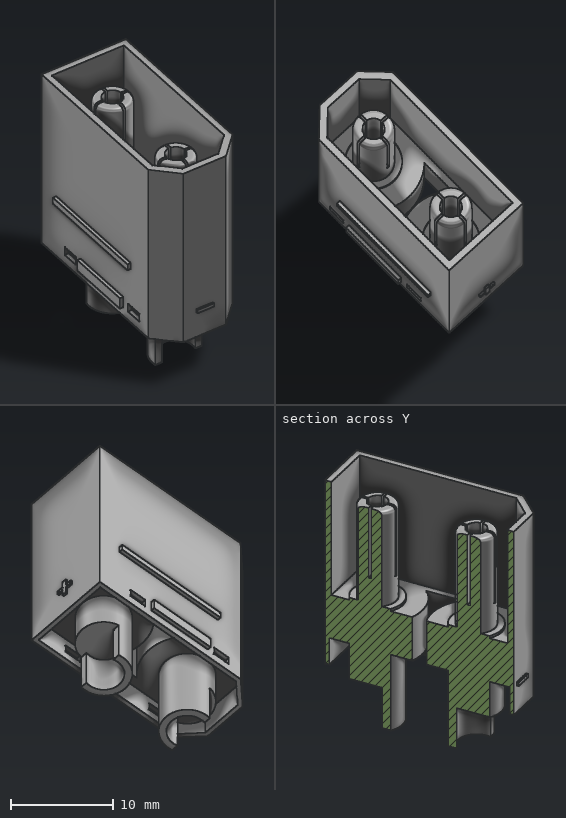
import cadquery as cq

HOUSING_LENGTH = 21.0
HOUSING_WIDTH = 10.0
HOUSING_HEIGHT = 20.83
CORNER_CHAMFER = 2.48

CAVITY_WALL = 0.75
CAVITY_CHAMFER = 2.15
FLOOR_TOP = 8.0
RECESS_WALL = 0.5
RECESS_DEPTH = 3.0

PIN_PITCH = 10.98
PIN_POSITIONS = (-PIN_PITCH / 2, PIN_PITCH / 2)
PIN_RADIUS = 2.05
PIN_TOP_BELOW_RIM = 1.8
PIN_TOP = HOUSING_HEIGHT - PIN_TOP_BELOW_RIM
PIN_BORE_RADIUS = 1.08
PIN_TIP_ROUND = 0.53
PIN_SPLIT_DEPTH = 7.92
PIN_SLOT_WIDTH = 0.26
SHOULDER_RADIUS = 2.8
SHOULDER_RISE = 0.26
SHOULDER_TOP = FLOOR_TOP + SHOULDER_RISE

OVERALL_HEIGHT = 26.4
TAIL_LENGTH = OVERALL_HEIGHT - HOUSING_HEIGHT
COLLAR_HEIGHT = 1.0
CUP_RADIUS = 2.03
CUP_FACE_OFFSET = 0.5

WAIST_ARC_RADIUS = 4.95
WAIST_WIDTH = 7.05

RIB_PROJECTION = 0.4
LONG_RIB_LENGTH = 12.94
LONG_RIB_HEIGHT = 0.75
LONG_RIB_BASE = 6.65
LONG_RIB_OFFSET = -1.45
SHORT_RIB_LENGTH = 7.42
SHORT_RIB_HEIGHT = 1.3
SIDE_DETAIL_BASE = 1.08
WINDOW_LENGTH = 1.95
WINDOW_HEIGHT = 0.95

MARK_PROJECTION = 0.2
MARK_LENGTH = 1.95
MARK_STROKE = 0.4
PLUS_STROKE = 0.5
PLUS_HEIGHT = 3.48
MINUS_HEIGHT = 3.25


def block(length, width, height, x=0.0, y=0.0, base=0.0):
    """Box centred on (x, y) and standing on z = base."""
    return cq.Workplane("XY").box(length, width, height, centered=(True, True, False)).translate((x, y, base))


def cylinder(radius, base, top, x=0.0):
    return cq.Workplane("XY", origin=(x, 0, base)).circle(radius).extrude(top - base)


def housing_prism(base, top, inset=0.0, chamfer=CORNER_CHAMFER):
    """Chamfered housing outline with its sides moved inwards by inset, extruded from base to top."""
    half_length = HOUSING_LENGTH / 2 - inset
    half_width = HOUSING_WIDTH / 2 - inset
    return cq.Workplane("XY", origin=(0, 0, base)).polyline([
        (-half_length, -half_width),
        (half_length - chamfer, -half_width),
        (half_length, -half_width + chamfer),
        (half_length, half_width - chamfer),
        (half_length - chamfer, half_width),
        (-half_length, half_width),
    ]).close().extrude(top - base)


def waisted_opening():
    height = FLOOR_TOP - RECESS_DEPTH
    opening = block(PIN_PITCH, WAIST_WIDTH, height, base=RECESS_DEPTH)
    for x in PIN_POSITIONS:
        opening = opening.cut(cylinder(WAIST_ARC_RADIUS, RECESS_DEPTH, FLOOR_TOP, x))
    return opening


def pin(x, outward):
    """Split contact pin with its solder tail; the open side of the cup faces outward (+1 or -1 in X)."""
    contact = cylinder(PIN_RADIUS, SHOULDER_TOP, PIN_TOP).faces(">Z").edges().fillet(PIN_TIP_ROUND)
    split_base = PIN_TOP - PIN_SPLIT_DEPTH
    contact = contact.cut(cylinder(PIN_BORE_RADIUS, split_base, PIN_TOP))
    for length, width in ((2 * PIN_RADIUS, PIN_SLOT_WIDTH), (PIN_SLOT_WIDTH, 2 * PIN_RADIUS)):
        contact = contact.cut(block(length, width, PIN_SPLIT_DEPTH, base=split_base))

    tail = cylinder(SHOULDER_RADIUS, -TAIL_LENGTH, SHOULDER_TOP)
    cup_height = TAIL_LENGTH - COLLAR_HEIGHT
    tail = tail.cut(cylinder(CUP_RADIUS, -TAIL_LENGTH, -COLLAR_HEIGHT))
    cut_x = outward * (CUP_FACE_OFFSET + SHOULDER_RADIUS)
    tail = tail.cut(block(2 * SHOULDER_RADIUS, 2 * SHOULDER_RADIUS, cup_height, x=cut_x, base=-TAIL_LENGTH))
    return tail.union(contact).translate((x, 0, 0))


result = housing_prism(0, HOUSING_HEIGHT)
result = result.cut(housing_prism(FLOOR_TOP, HOUSING_HEIGHT, CAVITY_WALL, CAVITY_CHAMFER))
result = result.cut(housing_prism(0, RECESS_DEPTH, RECESS_WALL, CAVITY_CHAMFER))
result = result.cut(waisted_opening())

for x in PIN_POSITIONS:
    result = result.cut(block(WINDOW_LENGTH, HOUSING_WIDTH, WINDOW_HEIGHT, x=x, base=SIDE_DETAIL_BASE))

rib_thickness = RECESS_WALL + RIB_PROJECTION
for side in (-1, 1):
    rib_y = side * (HOUSING_WIDTH / 2 + RIB_PROJECTION - rib_thickness / 2)
    result = result.union(
        block(LONG_RIB_LENGTH, rib_thickness, LONG_RIB_HEIGHT, LONG_RIB_OFFSET, rib_y, LONG_RIB_BASE)
    )
    result = result.union(
        block(SHORT_RIB_LENGTH, rib_thickness, SHORT_RIB_HEIGHT, 0, rib_y, SIDE_DETAIL_BASE)
    )

mark_thickness = RECESS_WALL + MARK_PROJECTION
mark_x = HOUSING_LENGTH / 2 + MARK_PROJECTION - mark_thickness / 2
result = result.union(
    block(mark_thickness, MARK_LENGTH, MARK_STROKE, -mark_x, 0, PLUS_HEIGHT - MARK_STROKE / 2)
)
result = result.union(
    block(mark_thickness, PLUS_STROKE, MARK_LENGTH, -mark_x, 0, PLUS_HEIGHT - MARK_LENGTH / 2)
)
result = result.union(
    block(mark_thickness, MARK_LENGTH, MARK_STROKE, mark_x, 0, MINUS_HEIGHT - MARK_STROKE / 2)
)

for x, outward in zip(PIN_POSITIONS, (-1, 1)):
    result = result.union(pin(x, outward))